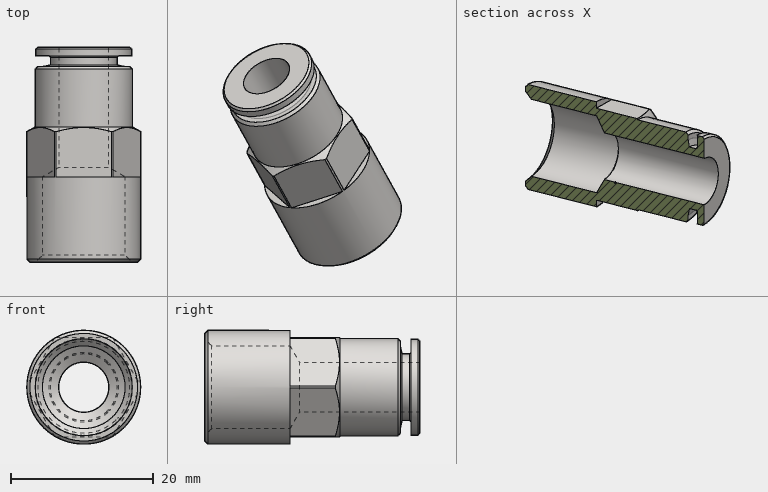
import cadquery as cq
import math


total_length = 30.2
socket_end = 12.0
hex_end = 19.0
body_end = 27.5
cap_thickness = 1.25

socket_radius = 8.0
body_radius = 6.85
neck_radius = 4.7
cap_radius = 6.75
collar_radius = 5.7

hex_sides = 6
hex_across_flats = 14.0
hex_chamfer_angle = 30.0

socket_chamfer = 0.45
body_chamfer = 0.4
cap_chamfer = 0.3
neck_flare = 0.18
collar_rise = 0.2

mouth_radius = 6.8
bore_radius = 5.8
mouth_angle = 45.0
bore_depth = 12.0
bore_end_angle = 60.0
through_radius = 3.5


def turned(points):
    """Revolve a closed (radius, y) outline about the Y axis."""
    return cq.Workplane("XY").polyline(points).close().revolve(360, (0, 0), (0, 1))


def cone_length(outer, inner, half_angle):
    """Axial length of a cone between two radii, half_angle measured from the axis."""
    return (outer - inner) / math.tan(math.radians(half_angle))


def socket():
    return turned([
        (0, 0),
        (socket_radius - socket_chamfer, 0),
        (socket_radius, socket_chamfer),
        (socket_radius, socket_end),
        (0, socket_end),
    ])


def hexagon():
    """Hexagon with rounded corners and a conical chamfer toward the body."""
    hex_length = hex_end - socket_end
    across_corners = hex_across_flats / math.cos(math.pi / hex_sides)
    prism = (
        cq.Workplane("XZ", origin=(0, hex_end, 0))
        .polygon(hex_sides, across_corners)
        .extrude(hex_length)
    )
    chamfer_length = (socket_radius - body_radius) * math.tan(math.radians(hex_chamfer_angle))
    envelope = turned([
        (0, socket_end),
        (socket_radius, socket_end),
        (socket_radius, hex_end - chamfer_length),
        (body_radius, hex_end),
        (0, hex_end),
    ])
    return prism.intersect(envelope)


def body_and_release_cap():
    cap_start = total_length - cap_thickness
    return turned([
        (0, hex_end),
        (body_radius, hex_end),
        (body_radius, body_end - body_chamfer),
        (body_radius - body_chamfer, body_end),
        (collar_radius, body_end),
        (neck_radius, body_end + collar_rise),
        (neck_radius, cap_start - neck_flare),
        (neck_radius + neck_flare, cap_start),
        (cap_radius, cap_start),
        (cap_radius, total_length - cap_chamfer),
        (cap_radius - cap_chamfer, total_length),
        (0, total_length),
    ])


def bore():
    """Chamfered socket bore with a conical end, running on as the through hole."""
    return turned([
        (0, 0),
        (mouth_radius, 0),
        (bore_radius, cone_length(mouth_radius, bore_radius, mouth_angle)),
        (bore_radius, bore_depth),
        (through_radius, bore_depth + cone_length(bore_radius, through_radius, bore_end_angle)),
        (through_radius, total_length),
        (0, total_length),
    ])


result = socket().union(hexagon()).union(body_and_release_cap()).cut(bore())